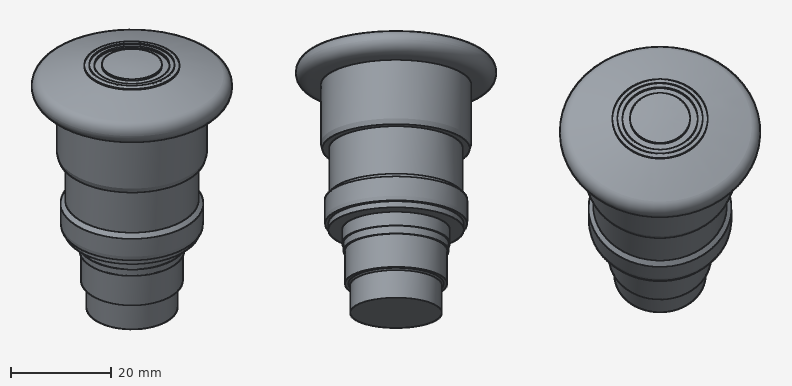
import cadquery as cq
import math


spigot_radius = 9.15
spigot_top = 5.8
spigot_chamfer_radius = 9.5
lower_body_radius = 10.2
lower_body_bottom = 6.15
lower_body_top = 13.1
middle_body_radius = 10.5
middle_body_top = 14.7
upper_body_radius = 10.75
upper_body_top = 17.55

washer_radius = 13.5
washer_top = 18.8
collar_radius = 14.25
collar_bottom_radius = 14.15
collar_taper_top = 19.7
collar_top = 24.7

neck_radius = 13.35
collar_chamfer = collar_radius - neck_radius
sleeve_radius = 15.0
sleeve_bottom_radius = 14.7
sleeve_bottom = 34.7
sleeve_taper_top = 35.8

total_height = 56.1
head_radius = 20.0
rim_fillet = 2.5
rim_height = 50.75
rim_centre_radius = head_radius - rim_fillet
underside_drop = 0.1
rim_bottom = rim_height - rim_fillet
head_bottom = rim_bottom - underside_drop
dome_rise = total_height - rim_height
dome_radius = (rim_centre_radius**2 + dome_rise**2 - rim_fillet**2) / (2 * (dome_rise - rim_fillet))
dome_centre_height = total_height - dome_radius
dome_edge_angle = math.asin(rim_centre_radius / (dome_radius - rim_fillet))

ring_outer_radius = 9.5
ring_inner_radius = 8.5
ring_rise = 0.25
groove_outer_radius = 7.5
groove_inner_radius = 6.0
groove_depth = 0.4


def rim_point(angle):
    """Point on the rim fillet; the angle is measured upwards from the widest point."""
    return (rim_centre_radius + rim_fillet * math.cos(angle), rim_height + rim_fillet * math.sin(angle))


def dome_point(radius):
    """Point on the dome at a given distance from the axis."""
    return (radius, dome_centre_height + math.sqrt(dome_radius**2 - radius**2))


def make_body():
    """Stepped stem from the spigot up to the underside of the head."""
    outline = [
        (0, 0),
        (spigot_radius, 0),
        (spigot_radius, spigot_top),
        (spigot_chamfer_radius, lower_body_bottom),
        (lower_body_radius, lower_body_bottom),
        (lower_body_radius, lower_body_top),
        (middle_body_radius, lower_body_top),
        (middle_body_radius, middle_body_top),
        (upper_body_radius, middle_body_top),
        (upper_body_radius, upper_body_top),
        (washer_radius, upper_body_top),
        (washer_radius, washer_top),
        (collar_bottom_radius, washer_top),
        (collar_radius, collar_taper_top),
        (collar_radius, collar_top - collar_chamfer),
        (neck_radius, collar_top),
        (neck_radius, sleeve_bottom),
        (sleeve_bottom_radius, sleeve_bottom),
        (sleeve_radius, sleeve_taper_top),
        (sleeve_radius, rim_height),
        (0, rim_height),
    ]
    return cq.Workplane("XZ").polyline(outline).close().revolve(360, (0, 0), (0, 1))


def make_head():
    """Spherical dome with a rounded rim and a shallow conical underside meeting the sleeve."""
    rim_top_angle = math.pi / 2 - dome_edge_angle
    rim_top = rim_point(rim_top_angle)
    return (
        cq.Workplane("XZ")
        .moveTo(0, head_bottom)
        .lineTo(sleeve_radius, head_bottom)
        .lineTo(rim_centre_radius, rim_bottom)
        .threePointArc(rim_point(-math.pi / 4), rim_point(0))
        .threePointArc(rim_point(rim_top_angle / 2), rim_top)
        .threePointArc(dome_point(rim_top[0] / 2), (0, total_height))
        .close()
        .revolve(360, (0, 0), (0, 1))
    )


def make_dome_ring(inner_radius, outer_radius, below, above):
    """Ring following the dome surface, reaching a given distance below and above it."""
    middle_radius = (inner_radius + outer_radius) / 2
    inner, middle, outer = [dome_point(r) for r in (inner_radius, middle_radius, outer_radius)]
    return (
        cq.Workplane("XZ")
        .moveTo(inner[0], inner[1] - below)
        .threePointArc((middle[0], middle[1] - below), (outer[0], outer[1] - below))
        .lineTo(outer[0], outer[1] + above)
        .threePointArc((middle[0], middle[1] + above), (inner[0], inner[1] + above))
        .close()
        .revolve(360, (0, 0), (0, 1))
    )


raised_ring = make_dome_ring(ring_inner_radius, ring_outer_radius, ring_rise, ring_rise)
groove = make_dome_ring(groove_inner_radius, groove_outer_radius, groove_depth, groove_depth)

result = make_body().union(make_head()).union(raised_ring).cut(groove)